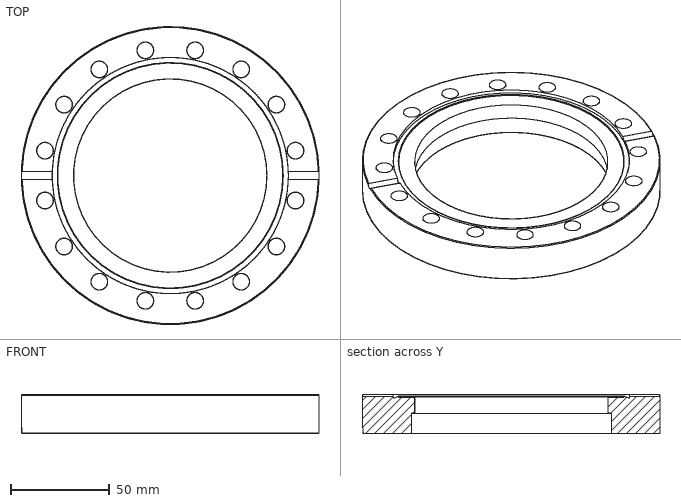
import cadquery as cq
import math

outer_diameter = 152.0
thickness = 20.0
rim_chamfer = 0.5

bore_diameter = 98.5
lower_bore_diameter = 101.8
lower_bore_depth = 10.3

recess_diameter = 120.5
recess_depth = 1.8
knife_diameter = 115.4
knife_depth = 0.9
knife_inner_diameter = 114.8
seat_depth = 1.4

bolt_count = 16
bolt_circle_diameter = 130.3
bolt_hole_diameter = 8.4

groove_width = 4.3
groove_depth = 1.0


def make_body():
    """Plain disc with both outer rims chamfered."""
    disc = cq.Workplane("XY").circle(outer_diameter / 2).extrude(thickness)
    return disc.edges().chamfer(rim_chamfer)


def make_bore_and_seat():
    """Revolved cutter for the stepped bore, sealing seat and knife edge."""
    profile = [
        (0, 0),
        (lower_bore_diameter / 2, 0),
        (lower_bore_diameter / 2, lower_bore_depth),
        (bore_diameter / 2, lower_bore_depth),
        (bore_diameter / 2, thickness - seat_depth),
        (knife_inner_diameter / 2, thickness - seat_depth),
        (knife_diameter / 2, thickness - knife_depth),
        (recess_diameter / 2, thickness - recess_depth),
        (recess_diameter / 2, thickness),
        (0, thickness),
    ]
    return cq.Workplane("XZ").polyline(profile).close().revolve(360, (0, 0), (0, 1))


def make_bolt_holes():
    """Ring of through holes, turned half a pitch off the X axis."""
    half_pitch = 180 / bolt_count
    return (
        cq.Workplane("XY")
        .polarArray(bolt_circle_diameter / 2, half_pitch, 360, bolt_count)
        .circle(bolt_hole_diameter / 2)
        .extrude(thickness)
    )


def make_leak_groove(side):
    """Groove from the gasket recess out through the rim; side is +1 or -1 along X."""
    groove_radius = (groove_width**2 / 4 + groove_depth**2) / (2 * groove_depth)
    groove_axis_z = thickness + groove_radius - groove_depth
    recess_radius = recess_diameter / 2
    start = math.sqrt(recess_radius**2 - (groove_width / 2) ** 2)
    length = outer_diameter / 2 - start
    return (
        cq.Workplane("YZ", origin=(side * start, 0, groove_axis_z))
        .circle(groove_radius)
        .extrude(side * length)
    )


result = make_body().cut(make_bore_and_seat()).cut(make_bolt_holes())
for side in (-1, 1):
    result = result.cut(make_leak_groove(side))